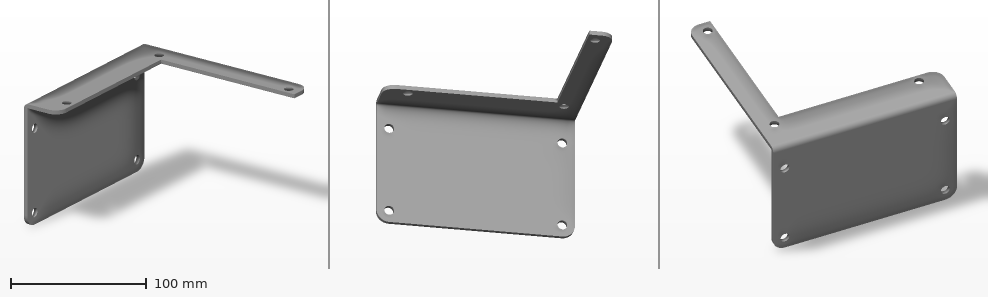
import cadquery as cq

length_x = 152.4
length_y = 149.2
height = 98.5

thickness = 3.2
bend_outer_radius = 4.3
bend_inner_radius = bend_outer_radius - thickness
corner_radius = 9.5
hole_diameter = 7.2

side_leg_width = 31.7
back_leg_width = 18.9

top_hole_x = 25.5
far_hole_x = 143.0
back_hole_inset = 12.6
front_hole_y = 19.0

plate_hole_inset = 9.5
lower_hole_z = 9.5
upper_hole_z = 76.2


def bent_sheet():
    """Angle profile with the bend along Y, filling the whole envelope."""
    sheet = (
        cq.Workplane("XZ")
        .polyline([
            (0, 0),
            (thickness, 0),
            (thickness, height - thickness),
            (length_x, height - thickness),
            (length_x, height),
            (0, height),
        ])
        .close()
        .extrude(-length_y)
    )
    sheet = sheet.edges(
        cq.selectors.NearestToPointSelector((0, length_y / 2, height))
    ).fillet(bend_outer_radius)
    return sheet.edges(
        cq.selectors.NearestToPointSelector((thickness, length_y / 2, height - thickness))
    ).fillet(bend_inner_radius)


def flange_cutout():
    """Block removed from the top flange to leave its two legs."""
    return cq.Workplane("XY").box(
        length_x - side_leg_width, length_y - back_leg_width, height, centered=False
    ).translate((side_leg_width, 0, 0))


def round_corner(body, x, y, z):
    """Round the sheet corner whose through-thickness edge is nearest the point."""
    return body.edges(cq.selectors.NearestToPointSelector((x, y, z))).fillet(corner_radius)


bracket = bent_sheet().cut(flange_cutout())

flange_mid_z = height - thickness / 2
bracket = round_corner(bracket, side_leg_width, 0, flange_mid_z)
bracket = round_corner(bracket, length_x, length_y, flange_mid_z)
for corner_y in (0, length_y):
    bracket = round_corner(bracket, thickness / 2, corner_y, 0)

back_hole_y = length_y - back_hole_inset
flange_holes = (
    cq.Workplane("XY", origin=(0, 0, height - thickness))
    .pushPoints([
        (top_hole_x, front_hole_y),
        (top_hole_x, back_hole_y),
        (far_hole_x, back_hole_y),
    ])
    .circle(hole_diameter / 2)
    .extrude(thickness)
)

plate_holes = (
    cq.Workplane("YZ")
    .pushPoints([
        (y, z)
        for y in (plate_hole_inset, length_y - plate_hole_inset)
        for z in (lower_hole_z, upper_hole_z)
    ])
    .circle(hole_diameter / 2)
    .extrude(thickness)
)

result = bracket.cut(flange_holes).cut(plate_holes)